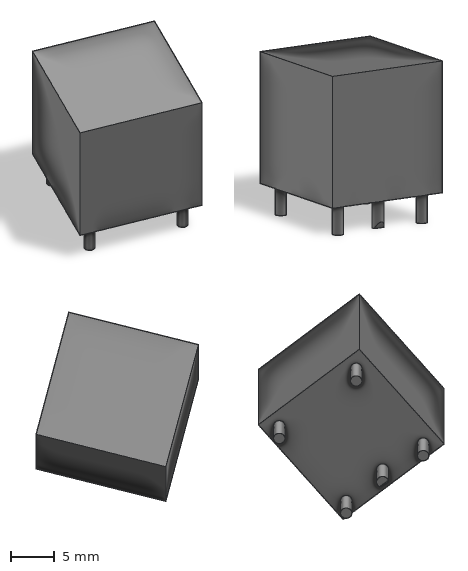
import cadquery as cq

body_x = 15.4
body_y = 15.0
total_height = 19.1
pin_length = 3.57
body_height = total_height - pin_length

corner_pin_diameter = 1.3
corner_pin_x = 6.07
corner_pin_y = 5.71

centre_pin_diameter = 1.4
centre_pin_x = -5.7
tip_flat_height = 0.8
tip_flat_depth = 0.45


def pin(x, y, diameter):
    """Round pin hanging from the body's underside, ending at Z = 0."""
    return cq.Workplane("XY").center(x, y).circle(diameter / 2).extrude(pin_length)


def centre_pin():
    """Pin whose tip is cut by a plane sloping down from its -X side."""
    side_x = centre_pin_x - centre_pin_diameter / 2
    tip_cut = (
        cq.Workplane("XZ")
        .moveTo(side_x, 0)
        .lineTo(side_x + tip_flat_depth, 0)
        .lineTo(side_x, tip_flat_height)
        .close()
        .extrude(centre_pin_diameter, both=True)
    )
    return pin(centre_pin_x, 0, centre_pin_diameter).cut(tip_cut)


body = (
    cq.Workplane("XY")
    .workplane(offset=pin_length)
    .rect(body_x, body_y)
    .extrude(body_height)
)

result = body.union(centre_pin())
for x in (-corner_pin_x, corner_pin_x):
    for y in (-corner_pin_y, corner_pin_y):
        result = result.union(pin(x, y, corner_pin_diameter))